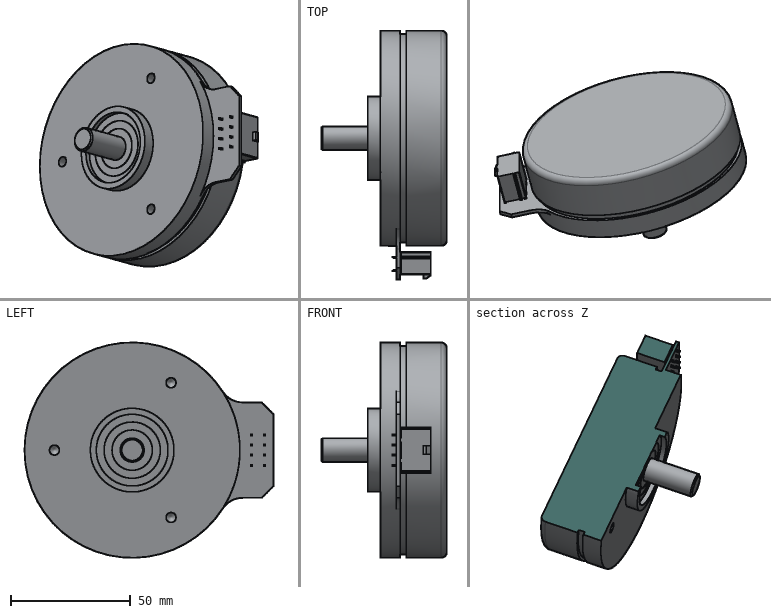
import cadquery as cq
import math


boss_front = 19.5
stator_front = 24.8
board_front = 31.4
board_back = 33.0
rotor_front = 35.5
rotor_back = 52.5

motor_diameter = 90.0
motor_radius = motor_diameter / 2
gap_radius = 43.6
rotor_edge_radius = 2.5
shaft_radius = 5.0
shaft_chamfer = 0.6

boss_radius = 17.5
bearing_radius = 15.0
bearing_recess_depth = 2.3
bearing_face = boss_front + bearing_recess_depth
shield_outer_radius = 11.8
shield_inner_radius = 8.4
shield_height = 0.1

hole_count = 3
hole_circle_radius = 32.5
hole_diameter = 4.2
hole_depth = 6.2
drill_point_angle = 118

overall_length = 104
board_tip = overall_length - motor_radius
tab_half_width = 20.0
tab_chamfer = 5.0
tab_fillet = 10.0

housing_inner = 47.4
housing_outer = 56.9
housing_half_height = 8.9
housing_back = 45.9
housing_chamfer = 0.3
housing_gap = 0.4
foot_inner = 3.3
foot_outer = 5.2
corner_post = 0.8
ridge_center = 49.7
ridge_width = 1.0
ridge_height = 0.6
latch_front = 42.6
latch_flat = 1.2
latch_height = 1.7
latch_lip = 0.3
latch_width = 3.5

pin_tip = 29.6
pin_thickness = 0.6
pin_bevel = 0.9
pin_rows = (49.8, 55.1)
pin_pitch = 4.3
pins_per_row = 4


def disc(radius, start, end):
    """Solid cylinder on the shaft axis between two X stations."""
    return cq.Workplane("YZ", origin=(start, 0, 0)).circle(radius).extrude(end - start)


def box(x_range, y_range, z_range):
    """Box given by its limits along X, Y and Z."""
    size = [high - low for low, high in (x_range, y_range, z_range)]
    corner = (x_range[0], y_range[0], z_range[0])
    return cq.Workplane("XY", origin=corner).box(*size, centered=False)


def make_motor():
    """Stator disc with the round board behind it, bearing boss, running gap, rotor and shaft."""
    rotor = disc(motor_radius, rotor_front, rotor_back).faces(">X").edges().fillet(rotor_edge_radius)
    recess = disc(bearing_radius, boss_front, bearing_face)
    shield = disc(shield_outer_radius, bearing_face - shield_height, bearing_face)
    shield = shield.cut(disc(shield_inner_radius, bearing_face - shield_height, bearing_face))
    shaft = disc(shaft_radius, 0, stator_front).faces("<X").edges().chamfer(shaft_chamfer)
    motor = disc(motor_radius, stator_front, board_back)
    motor = motor.union(disc(gap_radius, board_back, rotor_front)).union(rotor)
    motor = motor.union(disc(boss_radius, boss_front, stator_front)).cut(recess)
    return motor.union(shield).union(shaft)


def make_mounting_hole(angle):
    """Blind drilled hole with a conical bottom, placed at an angle from +Y."""
    radius = hole_diameter / 2
    point_depth = radius / math.tan(math.radians(drill_point_angle / 2))
    hole = (
        cq.Workplane("XY", origin=(stator_front, 0, 0))
        .polyline([(0, 0), (0, radius), (hole_depth, radius), (hole_depth + point_depth, 0)])
        .close()
        .revolve(360, (0, 0, 0), (1, 0, 0))
    )
    return hole.translate((0, hole_circle_radius, 0)).rotate((0, 0, 0), (1, 0, 0), angle)


def make_board_tab():
    """Tab with chamfered corners, blended into the round body by fillets."""
    fillet_z = tab_half_width + tab_fillet
    fillet_y = -math.sqrt((motor_radius + tab_fillet) ** 2 - fillet_z**2)
    tangent = motor_radius / (motor_radius + tab_fillet)
    blend_y = fillet_y * tangent
    blend_z = fillet_z * tangent
    middle = (math.atan2(-fillet_z, -fillet_y) - math.pi / 2) / 2
    middle_y = fillet_y + tab_fillet * math.cos(middle)
    middle_z = fillet_z + tab_fillet * math.sin(middle)
    return (
        cq.Workplane("YZ", origin=(board_front, 0, 0))
        .moveTo(blend_y, blend_z)
        .threePointArc((middle_y, middle_z), (fillet_y, tab_half_width))
        .lineTo(-board_tip + tab_chamfer, tab_half_width)
        .lineTo(-board_tip, tab_half_width - tab_chamfer)
        .lineTo(-board_tip, -tab_half_width + tab_chamfer)
        .lineTo(-board_tip + tab_chamfer, -tab_half_width)
        .lineTo(fillet_y, -tab_half_width)
        .threePointArc((middle_y, -middle_z), (blend_y, -blend_z))
        .close()
        .extrude(board_back - board_front)
    )


def make_connector():
    """Housing with key ridges and a latch, standing on two feet and four corner posts."""
    gap_x = (board_back, board_back + housing_gap)
    y_range = (-housing_outer, -housing_inner)
    z_range = (-housing_half_height, housing_half_height)
    connector = box((board_back, housing_back), y_range, z_range).edges("|X").chamfer(housing_chamfer)
    connector = connector.cut(box(gap_x, y_range, (-foot_inner, foot_inner)))

    post_y_range = (-housing_outer + corner_post, -housing_inner - corner_post)
    post_z = housing_half_height - corner_post
    side_gap = box(gap_x, y_range, (foot_outer, post_z))
    side_gap = side_gap.union(box(gap_x, post_y_range, (foot_outer, housing_half_height)))
    ridge = (
        cq.Workplane("YZ", origin=(board_back, 0, 0))
        .moveTo(-ridge_center - ridge_width / 2, housing_half_height)
        .lineTo(-ridge_center, housing_half_height + ridge_height)
        .lineTo(-ridge_center + ridge_width / 2, housing_half_height)
        .close()
        .extrude(housing_back - board_back)
    )
    connector = connector.cut(side_gap).cut(side_gap.mirror("XY"))
    connector = connector.union(ridge).union(ridge.mirror("XY"))

    latch = (
        cq.Workplane("XY", origin=(0, 0, -latch_width / 2))
        .moveTo(latch_front, -housing_outer)
        .lineTo(latch_front, -housing_outer - latch_height)
        .lineTo(latch_front + latch_flat, -housing_outer - latch_height)
        .lineTo(housing_back, -housing_outer - latch_lip)
        .lineTo(housing_back, -housing_outer)
        .close()
        .extrude(latch_width)
    )
    return connector.union(latch)


def make_pin(row_y, outward, z):
    """Square pin whose tip is bevelled to an edge on the side given by outward (+1 or -1 along Y)."""
    half = pin_thickness / 2
    sharp_side = row_y + outward * half
    bevel_side = row_y - outward * half
    return (
        cq.Workplane("XY", origin=(0, 0, z - half))
        .moveTo(pin_tip, sharp_side)
        .lineTo(board_back + housing_gap, sharp_side)
        .lineTo(board_back + housing_gap, bevel_side)
        .lineTo(pin_tip + pin_bevel, bevel_side)
        .close()
        .extrude(pin_thickness)
    )


result = make_motor().union(make_board_tab()).union(make_connector())

for index in range(hole_count):
    result = result.cut(make_mounting_hole(index * 360 / hole_count))

inner_row, outer_row = pin_rows
for index in range(pins_per_row):
    pin_z = (index - (pins_per_row - 1) / 2) * pin_pitch
    result = result.union(make_pin(-inner_row, 1, pin_z))
    result = result.union(make_pin(-outer_row, -1, pin_z))